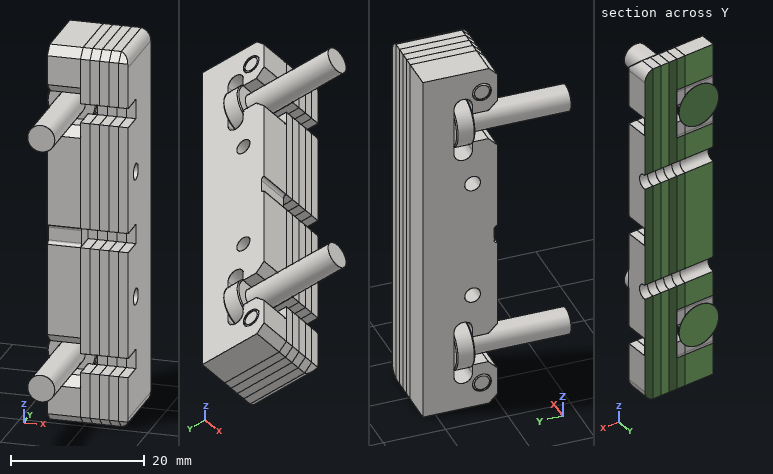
import cadquery as cq

HEIGHT = 60.0
DEPTH = 12.0
BLOCK_THICKNESS = 5.2
STACK_THICKNESS = 12.65
PLATE_COUNT = 5
PLATE_THICKNESS = (STACK_THICKNESS - BLOCK_THICKNESS) / PLATE_COUNT
CORNER_CHAMFER = 1.4
ROUNDING_DROP = 1.9

SCREW_Z = 20.0
SCREW_X = 2.65
WHEEL_RADIUS = 3.85
WHEEL_WIDTH = 2.95
WHEEL_CHAMFER = 0.2
SHAFT_DIAMETER = 4.25
SHAFT_OVERHANG = 12.0
WHEEL_Y = 5.5

SLOT_LENGTH = 10.9
SLOT_FRONT = WHEEL_Y - WHEEL_WIDTH / 2
CHANNEL_WIDTH = 5.05
CHANNEL_FLARE = 1.5

NOTCH_WIDTH = 3.05
BLOCK_NOTCH_DEPTH = 0.55
BLOCK_NOTCH_FILLET = 0.51

HOLE_DIAMETER = 2.5
HOLE_Y = 4.0
HOLE_Z = SCREW_Z / 2
PIN_DIAMETER = 3.0
PIN_CHAMFER = 0.3
PIN_Y = 2.5
PIN_Z = 26.05

SIDES = (-1, 1)


def mirrored_points(y, z):
    """The pair of YZ points above and below mid-height."""
    return [(y, side * z) for side in SIDES]


def slab(x, thickness):
    """Rectangular layer of the stack with its near face at x."""
    layer = cq.Workplane("XY").box(thickness, DEPTH, HEIGHT, centered=(False, False, True))
    return layer.translate((x, 0, 0))


def rounded_slab(x, thickness):
    """Layer whose far top and bottom edges are rounded over its full thickness."""
    upper_half = (
        cq.Workplane("XZ", origin=(x, DEPTH, 0))
        .lineTo(thickness, 0)
        .lineTo(thickness, HEIGHT / 2 - ROUNDING_DROP)
        .tangentArcPoint((0, HEIGHT / 2), relative=False)
        .close()
        .extrude(DEPTH)
    )
    return upper_half.union(upper_half.mirror("XY"))


def corner_wedges(x, thickness):
    """Pair of wedges that chamfer the front edges at the top and bottom."""
    upper = (
        cq.Workplane("YZ", origin=(x, 0, 0))
        .polyline([
            (0, HEIGHT / 2 - CORNER_CHAMFER),
            (0, HEIGHT / 2),
            (CORNER_CHAMFER, HEIGHT / 2),
        ])
        .close()
        .extrude(thickness)
    )
    return upper.union(upper.mirror("XY"))


def round_bars(x, thickness, diameter, y, z):
    """Pair of cylinders along X, used for holes and for pins."""
    return (
        cq.Workplane("YZ", origin=(x, 0, 0))
        .pushPoints(mirrored_points(y, z))
        .circle(diameter / 2)
        .extrude(thickness)
    )


def wheel_slots(x, thickness):
    """Pair of round-ended slots that the wheels sit in."""
    return (
        cq.Workplane("YZ", origin=(x, 0, 0))
        .pushPoints(mirrored_points(WHEEL_Y, SCREW_Z))
        .slot2D(SLOT_LENGTH, WHEEL_WIDTH, angle=90)
        .extrude(thickness)
    )


def shaft_channel(z):
    """Channel from the front face to the wheel slot, flared at its mouth."""
    half = CHANNEL_WIDTH / 2
    mouth = half + CHANNEL_FLARE
    return (
        cq.Workplane("YZ", origin=(0, 0, z))
        .polyline([
            (0, -mouth),
            (CHANNEL_FLARE, -half),
            (WHEEL_Y, -half),
            (WHEEL_Y, half),
            (CHANNEL_FLARE, half),
            (0, mouth),
        ])
        .close()
        .extrude(BLOCK_THICKNESS)
    )


def block_notch():
    """Shallow notch at mid-height with rounded inner corners."""
    return (
        cq.Workplane("XY")
        .box(BLOCK_THICKNESS, 2 * BLOCK_NOTCH_DEPTH, NOTCH_WIDTH, centered=(False, True, True))
        .edges("|X and >Y")
        .fillet(BLOCK_NOTCH_FILLET)
    )


def make_block():
    block = slab(0, BLOCK_THICKNESS)
    block = block.cut(corner_wedges(0, BLOCK_THICKNESS))
    block = block.cut(wheel_slots(0, BLOCK_THICKNESS))
    for side in SIDES:
        block = block.cut(shaft_channel(side * SCREW_Z))
    block = block.cut(block_notch())
    block = block.cut(round_bars(0, BLOCK_THICKNESS, HOLE_DIAMETER, HOLE_Y, HOLE_Z))
    return block.cut(round_bars(0, BLOCK_THICKNESS, PIN_DIAMETER, PIN_Y, PIN_Z))


def make_plate(index):
    x = BLOCK_THICKNESS + index * PLATE_THICKNESS
    is_last = index == PLATE_COUNT - 1
    plate = rounded_slab(x, PLATE_THICKNESS) if is_last else slab(x, PLATE_THICKNESS)
    plate = plate.cut(corner_wedges(x, PLATE_THICKNESS))
    for z in (-SCREW_Z, 0, SCREW_Z):
        notch = cq.Workplane("XY").box(
            PLATE_THICKNESS, SLOT_FRONT, NOTCH_WIDTH, centered=(False, False, True)
        )
        plate = plate.cut(notch.translate((x, 0, z)))
    if index == 0:
        plate = plate.cut(wheel_slots(x, PLATE_THICKNESS))
    return plate.cut(round_bars(x, PLATE_THICKNESS, HOLE_DIAMETER, HOLE_Y, HOLE_Z))


def make_thumbscrew(z):
    """Chamfered wheel and its shaft, turned about an axis along Y."""
    shaft_radius = SHAFT_DIAMETER / 2
    rim_radius = WHEEL_RADIUS - WHEEL_CHAMFER
    wheel_back = SLOT_FRONT + WHEEL_WIDTH
    return (
        cq.Workplane("YZ", origin=(SCREW_X, 0, z))
        .polyline([
            (-SHAFT_OVERHANG, 0),
            (-SHAFT_OVERHANG, shaft_radius),
            (SLOT_FRONT, shaft_radius),
            (SLOT_FRONT, rim_radius),
            (SLOT_FRONT + WHEEL_CHAMFER, WHEEL_RADIUS),
            (wheel_back - WHEEL_CHAMFER, WHEEL_RADIUS),
            (wheel_back, rim_radius),
            (wheel_back, 0),
        ])
        .close()
        .revolve(360, (0, 0, 0), (1, 0, 0))
    )


def make_pins():
    pins = round_bars(0, BLOCK_THICKNESS, PIN_DIAMETER, PIN_Y, PIN_Z)
    return pins.faces("<X").edges().chamfer(PIN_CHAMFER)


block = make_block()
plates = [make_plate(index) for index in range(PLATE_COUNT)]
thumbscrews = [make_thumbscrew(side * SCREW_Z) for side in SIDES]
pins = make_pins()

result = cq.Compound.makeCompound([
    block.val(),
    *[plate.val() for plate in plates],
    *[thumbscrew.val() for thumbscrew in thumbscrews],
    *pins.vals(),
])